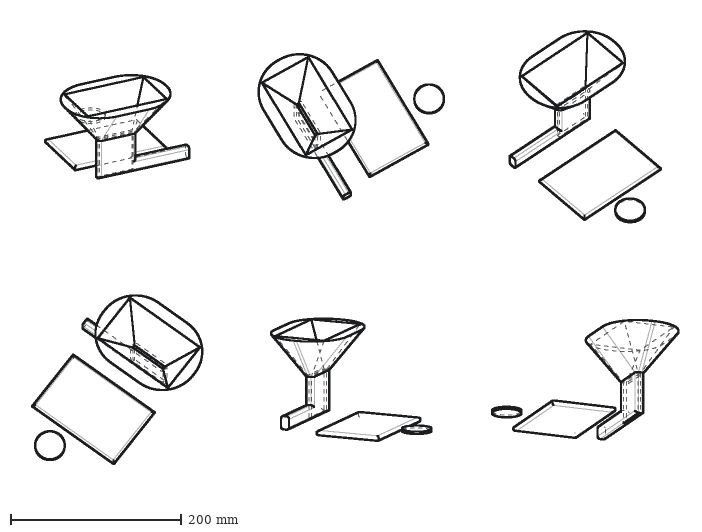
import cadquery as cq

tray_thickness = 6.0
base_z = tray_thickness
total_height = 107.3

tray_width = 80.2
tray_length = 119.8
tray_center_x = 85.5
tray_center_y = 90.0

disc_diameter = 35.0
disc_thickness = 3.0
disc_center = (disc_diameter / 2, 103.0)

rim_width = 93.4
rim_length = 131.7
stem_width = 10.5
edge_radius = 3.1
flare = (rim_width - stem_width) / 2
stem_length = rim_length - 2 * flare
stem_top_z = 55.9
arm_top_z = 22.0
arm_end_y = 159.7
overall_width = 208.5
hopper_x = overall_width - rim_width / 2
hopper_y = rim_length / 2

mouth_width = 63.0
mouth_length = 103.0
slot_width = 3.3
slot_length = 44.0


def round_edged_bar(plane, origin, profile_width, bar_length):
    """Bar with fully rounded long edges, extruded equally to both sides of the plane."""
    return (
        cq.Workplane(plane, origin=origin)
        .slot2D(profile_width, tray_thickness)
        .extrude(bar_length / 2, both=True)
    )


def make_tray():
    """Flat plate with four fully rounded sides that meet in mitred corners."""
    center = (tray_center_x, tray_center_y, tray_thickness / 2)
    round_across_width = round_edged_bar("XZ", center, tray_width, tray_length)
    round_along_length = round_edged_bar("YZ", center, tray_length, tray_width)
    return round_across_width.intersect(round_along_length)


def make_disc():
    """Loose round disc resting at the base level of the hopper."""
    return (
        cq.Workplane("XY", origin=(0, 0, base_z))
        .center(*disc_center)
        .circle(disc_diameter / 2)
        .extrude(disc_thickness)
    )


def hopper_plane(z):
    return cq.Workplane("XY", origin=(hopper_x, hopper_y, z))


def rounded_rectangle(width, length, radius):
    return cq.Sketch().rect(width, length).vertices().fillet(radius)


def make_stem_and_arm():
    """L-shaped plate, rounded along its sides except at the arm end and under the funnel."""
    front_y = hopper_y - stem_length / 2
    back_y = hopper_y + stem_length / 2
    plate = (
        cq.Workplane("YZ", origin=(hopper_x, 0, 0))
        .moveTo(front_y, base_z)
        .lineTo(arm_end_y, base_z)
        .lineTo(arm_end_y, arm_top_z)
        .lineTo(back_y, arm_top_z)
        .lineTo(back_y, stem_top_z)
        .lineTo(front_y, stem_top_z)
        .close()
        .extrude(stem_width / 2, both=True)
    )
    side_edges = plate.faces("<X or >X").edges("not (>Y or >Z)")
    return side_edges.fillet(edge_radius)


def make_funnel():
    """Solid flared blank whose corner radius grows with the flare."""
    neck = rounded_rectangle(stem_width, stem_length, edge_radius)
    rim = rounded_rectangle(rim_width, rim_length, edge_radius + flare)
    return (
        hopper_plane(stem_top_z)
        .placeSketch(neck, rim.moved(cq.Location(cq.Vector(0, 0, total_height - stem_top_z))))
        .loft(ruled=True)
    )


def make_passage():
    """Pyramid-shaped mouth that narrows to a slot running straight down through the stem."""
    mouth = (
        hopper_plane(stem_top_z)
        .rect(slot_width, slot_length)
        .workplane(offset=total_height - stem_top_z)
        .rect(mouth_width, mouth_length)
        .loft(ruled=True)
    )
    slot = hopper_plane(base_z).rect(slot_width, slot_length).extrude(stem_top_z - base_z)
    return mouth.union(slot)


def make_hopper():
    return make_stem_and_arm().union(make_funnel()).cut(make_passage())


tray = make_tray()
disc = make_disc()
hopper = make_hopper()

result = cq.Compound.makeCompound([*tray.solids().vals(), disc.val(), *hopper.solids().vals()])